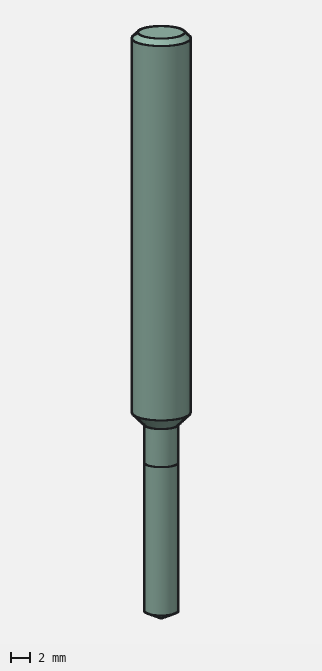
import cadquery as cq
import math

total_length = 62.0

shank_diameter = 6.0
neck_diameter = 3.5
top_chamfer = 0.6
shoulder_angle = 45.0
neck_bottom = 16.5
neck_length = 4.0

cutter_diameter = 3.5
point_angle = 130.0

shank_radius = shank_diameter / 2
neck_radius = neck_diameter / 2
cutter_radius = cutter_diameter / 2
neck_top = neck_bottom + neck_length
shoulder_height = (shank_radius - neck_radius) / math.tan(math.radians(shoulder_angle))
shoulder_top = neck_top + shoulder_height
point_height = cutter_radius / math.tan(math.radians(point_angle / 2))


def revolve_about_z(outline):
    """Turn a closed (radius, height) outline around the Z axis."""
    return cq.Workplane("XZ").polyline(outline).close().revolve(360, (0, 0, 0), (0, 1, 0))


def make_shank():
    """Chamfered cylinder that narrows through a cone to the neck."""
    return revolve_about_z([
        (0, neck_bottom),
        (neck_radius, neck_bottom),
        (neck_radius, neck_top),
        (shank_radius, shoulder_top),
        (shank_radius, total_length - top_chamfer),
        (shank_radius - top_chamfer, total_length),
        (0, total_length),
    ])


def make_cutter():
    """Cylinder with a conical point at the origin, butted against the neck."""
    return revolve_about_z([
        (0, 0),
        (cutter_radius, point_height),
        (cutter_radius, neck_bottom),
        (0, neck_bottom),
    ])


shank = make_shank()
cutter = make_cutter()

result = cq.Compound.makeCompound([shank.val(), cutter.val()])